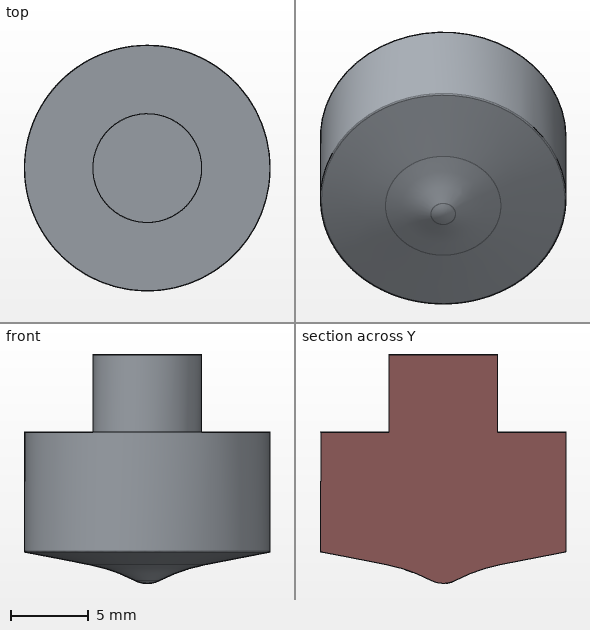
import cadquery as cq
import math

body_diameter = 15.8
overall_height = 14.73
pin_diameter = 7.0
pin_height = 5.0

cone_angle = math.radians(11.0)
tip_angle = math.radians(27.5)
flare_start_radius = 3.71
tip_start_radius = 0.79
rim_fillet = 0.1

body_radius = body_diameter / 2
pin_radius = pin_diameter / 2

tip_sphere_radius = tip_start_radius / math.sin(tip_angle)
flare_radius = (flare_start_radius - tip_start_radius) / (math.sin(tip_angle) - math.sin(cone_angle))

tip_top = tip_sphere_radius * (1 - math.cos(tip_angle))
flare_top = tip_top + flare_radius * (math.cos(cone_angle) - math.cos(tip_angle))
cone_top = flare_top + (body_radius - flare_start_radius) * math.tan(cone_angle)
shoulder_height = overall_height - pin_height


def flare_midpoint():
    """Point halfway along the hollow flare arc, as (radius, height)."""
    mid_angle = (cone_angle + tip_angle) / 2
    radius = tip_start_radius + flare_radius * (math.sin(tip_angle) - math.sin(mid_angle))
    height = tip_top + flare_radius * (math.cos(mid_angle) - math.cos(tip_angle))
    return radius, height


def tip_midpoint():
    """Point halfway along the rounded tip arc, as (radius, height)."""
    mid_angle = tip_angle / 2
    radius = tip_sphere_radius * math.sin(mid_angle)
    height = tip_sphere_radius * (1 - math.cos(mid_angle))
    return radius, height


half_section = (
    cq.Workplane("XZ")
    .moveTo(0, 0)
    .threePointArc(tip_midpoint(), (tip_start_radius, tip_top))
    .threePointArc(flare_midpoint(), (flare_start_radius, flare_top))
    .lineTo(body_radius, cone_top)
    .lineTo(body_radius, shoulder_height)
    .lineTo(pin_radius, shoulder_height)
    .lineTo(pin_radius, overall_height)
    .lineTo(0, overall_height)
    .close()
)
turned_body = half_section.revolve(360, (0, 0, 0), (0, 1, 0))

rim_margin = 0.16
rim_zone = cq.selectors.BoxSelector(
    (-rim_margin, -rim_margin, cone_top - rim_margin),
    (rim_margin, rim_margin, cone_top + rim_margin),
)
result = turned_body.edges("%CIRCLE").edges(rim_zone).fillet(rim_fillet)